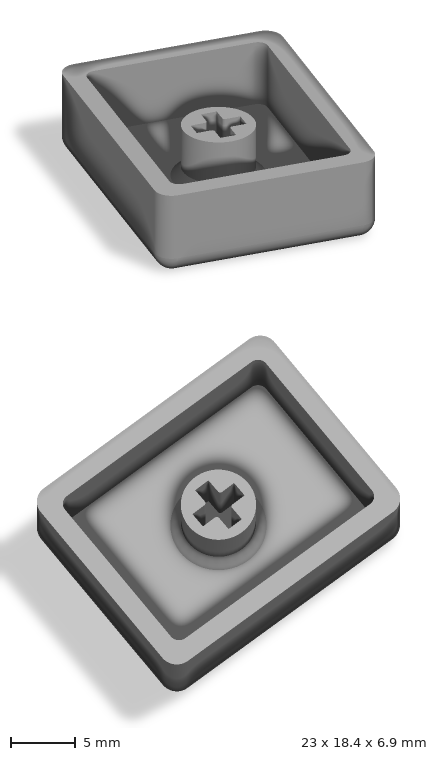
import cadquery as cq

body_length = 22.81
body_width = 18.05
body_height = 6.9
body_turn = -0.875
edge_radius = 1.4
wall = 1.6
floor_thickness = 1.5
pocket_corner_radius = 0.8

stem_diameter = 5.8
stem_height = 4.4
foot_diameter = 7.4
foot_height = 0.8

cross_span = 4.1
cross_arm_width = 1.3
cross_corner_radius = 0.22
cross_depth = stem_height


def rounded_block(length, width, height, radius):
    """Block standing on Z = 0 with rounded vertical edges."""
    return cq.Workplane("XY").rect(length, width).extrude(height).edges("|Z").fillet(radius)


def make_tray():
    outer = rounded_block(body_length, body_width, body_height, edge_radius)
    outer = outer.faces("<Z").edges().fillet(edge_radius)
    pocket = rounded_block(
        body_length - 2 * wall,
        body_width - 2 * wall,
        body_height - floor_thickness,
        pocket_corner_radius,
    ).translate((0, 0, floor_thickness))
    return outer.cut(pocket).rotate((0, 0, 0), (0, 0, 1), body_turn)


def make_stem():
    """Post and conical foot, revolved about Z."""
    stem_radius = stem_diameter / 2
    foot_radius = foot_diameter / 2
    root = floor_thickness / 2
    profile = [
        (0, root),
        (stem_radius, root),
        (stem_radius, floor_thickness),
        (foot_radius, floor_thickness),
        (stem_radius, floor_thickness + foot_height),
        (stem_radius, floor_thickness + stem_height),
        (0, floor_thickness + stem_height),
    ]
    return cq.Workplane("XZ").polyline(profile).close().revolve(360, (0, 0, 0), (0, 1, 0))


def make_cross_socket():
    """Cross with rounded inner corners, reaching down from the stem top."""
    bar_along_x = cq.Workplane("XY").rect(cross_span, cross_arm_width).extrude(cross_depth)
    bar_along_y = cq.Workplane("XY").rect(cross_arm_width, cross_span).extrude(cross_depth)
    corner_box = cq.selectors.BoxSelector(
        (-cross_arm_width, -cross_arm_width, 0),
        (cross_arm_width, cross_arm_width, cross_depth),
    )
    cross = bar_along_x.union(bar_along_y).edges("|Z").edges(corner_box).fillet(cross_corner_radius)
    return cross.translate((0, 0, floor_thickness + stem_height - cross_depth))


result = make_tray().union(make_stem()).cut(make_cross_socket()).solids()